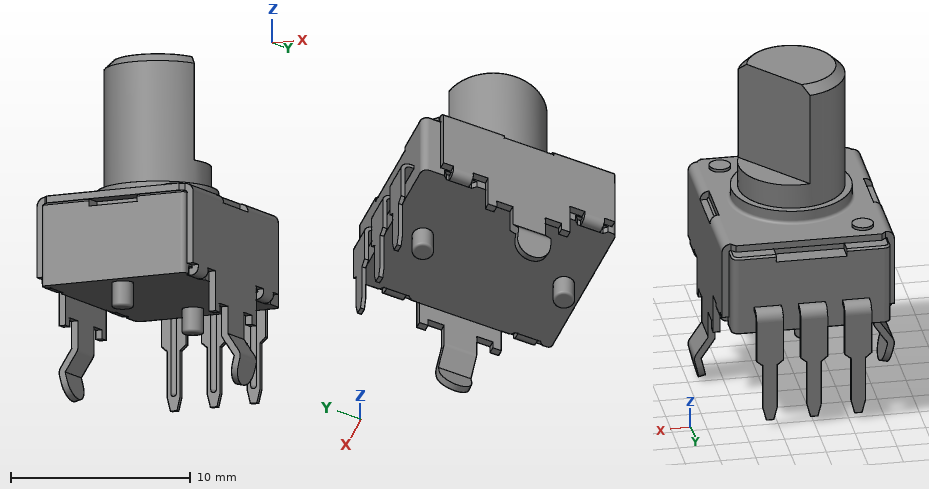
import cadquery as cq
import math


housing_width = 8.99
housing_front_y = -5.5
housing_back_y = 6.3
housing_height = 4.7
front_corner_radius = 0.25
back_corner_radius = 0.4
top_edge_chamfer = 0.11
front_notch_width = 3.0
back_notch_width = 4.0
notch_height = 0.41
notch_depth = 1.0

peg_diameter = 1.2
peg_y = 4.3
rivet_x = 3.25
locating_peg_length = 1.41
locating_peg_fillet = 0.15
rivet_head_height = 0.17

sheet = 0.4
cover_back_y = 5.5
cover_corner_chamfer = 0.25
cover_bend_radius = 0.5
wall_length = 10.45
wall_bottom_z = 0.56
slot_length = 3.0
collar_diameter = 6.8
collar_height = 0.77
collar_fillet = 0.19
skirt_width = 5.0
skirt_bottom_z = -1.18
foot_width = 0.53
foot_bottom_z = -1.7

leg_width = 2.0
leg_upper_bend_z = -2.73
leg_flare_angle = 34.0
leg_flare_length = 1.47
leg_return_angle = 14.0
leg_return_length = 0.64
leg_lower_bend_radius = 0.56

tab_y = 4.0
tab_width = 1.2
tab_bend_radius = 0.43
recess_width = 2.0
recess_depth = 0.23
recess_height = 0.45

shaft_diameter = 6.0
shaft_top_z = 13.27
tip_chamfer_height = 0.49
tip_chamfer_width = 0.5
flat_bottom_z = 7.3
flat_distance = 1.5
flat_angle = 40.0

terminal_pitch = 2.5
terminal_sheet = 0.25
terminal_back_y = 7.09
terminal_top_z = 1.58
terminal_bend_radius = 0.62
terminal_width = 1.52
blade_width = 0.8
tip_width = 0.41
shoulder_top_z = -1.43
shoulder_bottom_z = -1.73
taper_top_z = -4.35
terminal_bottom_z = -5.11
rib_width = 0.35
rib_height = 0.08
rib_top_z = 0.56
rib_bottom_z = -4.12

half_width = housing_width / 2
cover_half_width = half_width + sheet
cover_top_z = housing_height + sheet
flat_top_half_width = cover_half_width - cover_bend_radius
terminal_front_y = terminal_back_y - terminal_sheet
diagonal = math.sqrt(0.5)


def box(x_range, y_range, z_range):
    """Axis-aligned block between two limits along each axis."""
    size = [high - low for low, high in (x_range, y_range, z_range)]
    corner = cq.Vector(x_range[0], y_range[0], z_range[0])
    return cq.Workplane(cq.Solid.makeBox(*size, corner))


def disc(diameter, bottom_z, top_z, x=0, y=0):
    """Upright cylinder between two heights."""
    return cq.Workplane("XY", origin=(x, y, bottom_z)).circle(diameter / 2).extrude(top_z - bottom_z)


def both_sides(right_part):
    """The part at +X together with its mirror image at -X."""
    return right_part.union(right_part.mirror("YZ"))


def extrude_along_y(outline, y_middle, width):
    """Extrude an XZ outline to a given width about a middle Y."""
    return outline.extrude(width / 2, both=True).translate((0, y_middle, 0))



def make_crimp_recess(y_middle):
    """Recess in the lower +X edge of the housing, with ends sloping at 45 degrees."""
    return (
        cq.Workplane("XY")
        .moveTo(half_width, y_middle - recess_width / 2)
        .lineTo(half_width - recess_depth, y_middle - recess_width / 2 + recess_depth)
        .lineTo(half_width - recess_depth, y_middle + recess_width / 2 - recess_depth)
        .lineTo(half_width, y_middle + recess_width / 2)
        .close()
        .extrude(recess_height)
    )


def make_locating_peg(y):
    return disc(peg_diameter, -locating_peg_length, 0, y=y).faces("<Z").edges().fillet(locating_peg_fillet)


def make_housing():
    body = box((-half_width, half_width), (housing_front_y, housing_back_y), (0, housing_height))
    body = body.edges("|Z and <Y").fillet(front_corner_radius)
    body = body.edges("|Z and >Y").fillet(back_corner_radius)
    body = body.faces(">Z").edges().chamfer(top_edge_chamfer)

    notch_z = (housing_height - notch_height, housing_height)
    front_x = (-front_notch_width / 2, front_notch_width / 2)
    back_x = (-back_notch_width / 2, back_notch_width / 2)
    body = body.cut(box(front_x, (housing_front_y, housing_front_y + notch_depth), notch_z))
    body = body.cut(box(back_x, (housing_back_y - notch_depth, housing_back_y), notch_z))

    for side in (-1, 1):
        body = body.cut(both_sides(make_crimp_recess(side * tab_y)))
        body = body.union(make_locating_peg(side * peg_y))
        rivet_top = cover_top_z + rivet_head_height
        body = body.union(disc(peg_diameter, housing_height, rivet_top, side * rivet_x, -side * peg_y))
    return body



def make_cover_shell():
    """Top plate with two bent side walls."""
    outer = box(
        (-cover_half_width, cover_half_width),
        (-wall_length / 2, wall_length / 2),
        (wall_bottom_z, cover_top_z),
    )
    outer = outer.edges("|Y and >Z").fillet(cover_bend_radius)
    inner = box(
        (-half_width, half_width),
        (-wall_length / 2, wall_length / 2),
        (wall_bottom_z, housing_height),
    )
    inner = inner.edges("|Y and >Z").fillet(cover_bend_radius - sheet)
    plate = box(
        (-flat_top_half_width, flat_top_half_width),
        (housing_front_y, cover_back_y),
        (housing_height, cover_top_z),
    )
    plate = plate.edges("|Z").chamfer(cover_corner_chamfer)
    return outer.cut(inner).union(plate)


def make_bend_slot():
    """Opening through the middle of the +X bend."""
    return box(
        (flat_top_half_width, cover_half_width),
        (-slot_length / 2, slot_length / 2),
        (cover_top_z - cover_bend_radius, cover_top_z),
    )


def make_skirt():
    """Extension of the +X wall below the housing, with a foot at each end."""
    x_range = (half_width, cover_half_width)
    skirt = box(x_range, (-skirt_width / 2, skirt_width / 2), (skirt_bottom_z, wall_bottom_z))
    for side in (-1, 1):
        foot_edges = sorted((side * skirt_width / 2, side * (skirt_width / 2 - foot_width)))
        skirt = skirt.union(box(x_range, foot_edges, (foot_bottom_z, skirt_bottom_z)))
    return skirt


def make_leg():
    """Snap-in leg at +X: straight down, flared outward, then turned back to a round tip."""
    flare = math.radians(leg_flare_angle)
    turn_back = math.radians(leg_return_angle)
    knee = (cover_half_width, leg_upper_bend_z)
    elbow = (
        knee[0] + leg_flare_length * math.sin(flare),
        knee[1] - leg_flare_length * math.cos(flare),
    )
    tip = (
        elbow[0] - leg_return_length * math.sin(turn_back),
        elbow[1] - leg_return_length * math.cos(turn_back),
    )

    knee_drop = sheet * math.tan(flare / 2)
    inner_knee = (knee[0] - sheet, knee[1] - knee_drop)
    mitre_angle = (flare - turn_back) / 2
    mitre_length = sheet / math.cos((flare + turn_back) / 2)
    inner_elbow = (
        elbow[0] - mitre_length * math.cos(mitre_angle),
        elbow[1] - mitre_length * math.sin(mitre_angle),
    )
    inward = (-math.cos(turn_back), math.sin(turn_back))
    inner_tip = (tip[0] + sheet * inward[0], tip[1] + sheet * inward[1])

    outline = cq.Workplane("XZ").polyline([
        (cover_half_width, skirt_bottom_z),
        knee,
        elbow,
        tip,
        inner_tip,
        inner_elbow,
        inner_knee,
        (half_width, skirt_bottom_z),
    ]).close()
    strip = extrude_along_y(outline, 0, leg_width)
    strip = strip.edges(cq.NearestToPointSelector((inner_knee[0], 0, inner_knee[1]))).fillet(sheet)
    strip = strip.edges(cq.NearestToPointSelector((elbow[0], 0, elbow[1]))).fillet(leg_lower_bend_radius)

    tip_plane = cq.Plane(
        origin=(tip[0], 0, tip[1]), xDir=(0, 1, 0), normal=(inward[0], 0, inward[1])
    )
    round_tip = (
        cq.Workplane(tip_plane)
        .moveTo(-leg_width / 2, 0)
        .threePointArc((0, leg_width / 2), (leg_width / 2, 0))
        .close()
        .extrude(sheet)
    )
    return strip.union(round_tip)


def make_crimp_tab(y_middle):
    """Tab of the +X wall, bent inward into its housing recess."""
    inner_radius = tab_bend_radius - sheet
    bend_x = cover_half_width - tab_bend_radius
    outline = (
        cq.Workplane("XZ")
        .moveTo(cover_half_width, wall_bottom_z)
        .lineTo(cover_half_width, tab_bend_radius)
        .threePointArc(
            (bend_x + tab_bend_radius * diagonal, tab_bend_radius * (1 - diagonal)),
            (bend_x, 0),
        )
        .lineTo(half_width - recess_depth, 0)
        .lineTo(half_width - recess_depth, sheet)
        .lineTo(bend_x, sheet)
        .threePointArc(
            (bend_x + inner_radius * diagonal, tab_bend_radius - inner_radius * diagonal),
            (half_width, tab_bend_radius),
        )
        .lineTo(half_width, wall_bottom_z)
        .close()
    )
    return extrude_along_y(outline, y_middle, tab_width)


def make_cover():
    cover = make_cover_shell().cut(both_sides(make_bend_slot()))
    cover = cover.union(disc(collar_diameter, housing_height, cover_top_z + collar_height))
    collar_root = cq.NearestToPointSelector((0, 0, cover_top_z))
    cover = cover.edges(collar_root).fillet(collar_fillet)
    cover = cover.union(both_sides(make_skirt().union(make_leg())))
    for side in (-1, 1):
        cover = cover.union(both_sides(make_crimp_tab(side * tab_y)))
        cover = cover.cut(disc(peg_diameter, housing_height, cover_top_z, side * rivet_x, -side * peg_y))
    return cover.cut(disc(shaft_diameter, housing_height, cover_top_z + collar_height))



def make_shaft():
    """Round shaft standing on the housing, with a chamfered tip and a flat on its upper part."""
    radius = shaft_diameter / 2
    shaft = (
        cq.Workplane("XZ")
        .moveTo(0, housing_height)
        .lineTo(radius, housing_height)
        .lineTo(radius, shaft_top_z - tip_chamfer_height)
        .lineTo(radius - tip_chamfer_width, shaft_top_z)
        .lineTo(0, shaft_top_z)
        .close()
        .revolve(360, (0, 0), (0, 1))
    )
    flat_cutter = box((flat_distance, shaft_diameter), (-radius, radius), (flat_bottom_z, shaft_top_z))
    return shaft.cut(flat_cutter.rotate((0, 0, 0), (0, 0, 1), flat_angle))



def make_terminal_rib():
    """Shallow round rib with domed ends, raised on the front face of a terminal."""
    half_chord = rib_width / 2
    radius = (half_chord ** 2 + rib_height ** 2) / (2 * rib_height)
    axis_y = terminal_front_y - rib_height + radius
    rib = disc(2 * radius, rib_bottom_z, rib_top_z, y=axis_y)
    for end_z in (rib_bottom_z, rib_top_z):
        rib = rib.union(cq.Workplane("XY").sphere(radius).translate((0, axis_y, end_z)))
    above_face = box(
        (-half_chord, half_chord),
        (terminal_front_y - rib_height, terminal_front_y),
        (rib_bottom_z - radius, rib_top_z + radius),
    )
    return rib.intersect(above_face)


def make_terminal(x_middle):
    """Flat blade hanging down behind the housing from a bend that meets its back face."""
    bend_bottom_z = terminal_top_z - terminal_bend_radius
    right_edge = [
        (terminal_width / 2, bend_bottom_z),
        (terminal_width / 2, shoulder_top_z),
        (blade_width / 2, shoulder_bottom_z),
        (blade_width / 2, taper_top_z),
        (tip_width / 2, terminal_bottom_z),
    ]
    left_edge = [(-x, z) for x, z in reversed(right_edge)]
    blade = (
        cq.Workplane("XZ", origin=(0, terminal_back_y, 0))
        .polyline(right_edge + left_edge)
        .close()
        .extrude(terminal_sheet)
    )

    bend_start_y = terminal_back_y - terminal_bend_radius
    inner_radius = terminal_bend_radius - terminal_sheet
    bend = (
        cq.Workplane("YZ")
        .moveTo(terminal_back_y, bend_bottom_z)
        .threePointArc(
            (bend_start_y + terminal_bend_radius * diagonal, bend_bottom_z + terminal_bend_radius * diagonal),
            (bend_start_y, terminal_top_z),
        )
        .lineTo(housing_back_y, terminal_top_z)
        .lineTo(housing_back_y, terminal_top_z - terminal_sheet)
        .lineTo(bend_start_y, terminal_top_z - terminal_sheet)
        .threePointArc(
            (bend_start_y + inner_radius * diagonal, bend_bottom_z + inner_radius * diagonal),
            (terminal_front_y, bend_bottom_z),
        )
        .close()
        .extrude(terminal_width / 2, both=True)
    )
    terminal = blade.union(bend).union(make_terminal_rib())
    return terminal.translate((x_middle, 0, 0))


housing = make_housing()
cover = make_cover()
shaft = make_shaft()
terminals = [make_terminal(step * terminal_pitch) for step in (-1, 0, 1)]

result = cq.Compound.makeCompound([
    housing.val(),
    cover.val(),
    shaft.val(),
    *[terminal.val() for terminal in terminals],
])